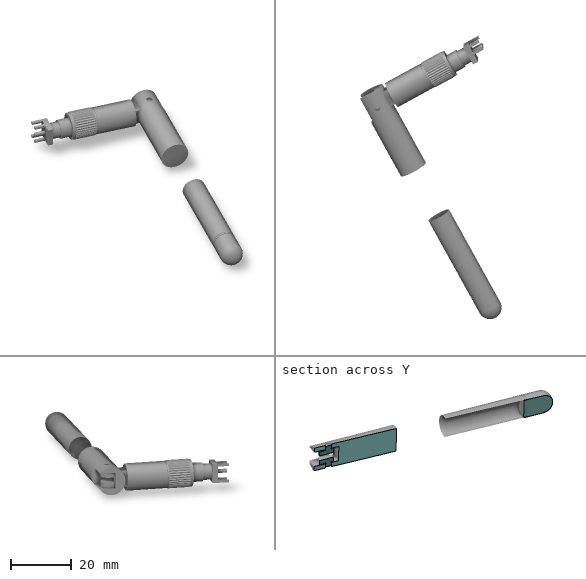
import cadquery as cq
import math

ARM_TURN_ABOUT_Z = 1.2
ARM_TIP_ABOUT_Y = 1.4
SLEEVE_TURN_ABOUT_Z = 0.5
SLEEVE_TIP_ABOUT_X = -0.8
JACK_OFFSET_X = 0.6
JACK_OFFSET_Z = 0.35

ARM_DIAMETER = 9.3
ARM_START = -4.5
ARM_LENGTH = 29.7
ARM_CLEARANCE_CUT = 0.7
CLEARANCE_CUT_LENGTH = 8.8
ARM_TIP_CHAMFER = 0.5
SLOT_HEIGHT = 5.5
SLOT_FLOOR = -1.5

TONGUE_WIDTH = 5.35
TONGUE_HEIGHT = TONGUE_WIDTH
FORK_GAP = 1.7
FORK_FLOOR = -1.4
PEG_DIAMETER = 2.0
PEG_X = 0.7
PEG_Y = 0.2
PEG_LENGTH = 1.6
PEG_CONE = 0.35
SLEEVE_START = 5.6
SLEEVE_END = 18.8
SLEEVE_DIAMETER = 9.0

NUT_NECK_LENGTH = 0.3
NUT_NECK_DIAMETER = 8.6
NUT_SHOULDER_LENGTH = 0.4
KNURL_LENGTH = 7.2
KNURL_DIAMETER = 9.3
KNURL_DEPTH = 0.3
KNURL_TEETH = 36
COLLAR_LENGTH = 0.95

JACK_START = 20.7
JACK_DIAMETER = 6.3
JACK_NECK_DIAMETER = 5.35
JACK_NECK_START = 31.35
PLATE_START = 34.3
PLATE_THICKNESS = 1.8
LEG_LENGTH = 3.6
LEG_WIDTH = 0.95
LEG_HEIGHT = 0.8

INSULATOR_DIAMETER = 4.2
CONTACT_DIAMETER = 1.3
CONTACT_TIP_DIAMETER = 0.95

WHIP_START = 42.75
WHIP_LENGTH = 39.0
WHIP_DIAMETER = 7.7
WHIP_BORE = 7.5
WHIP_BORE_DEPTH = 28.15
GROOVE_STARTS = [28.4, 29.2]
GROOVE_WIDTH = 0.3
GROOVE_DEPTH = 0.2

NUT_START = SLEEVE_END
SHOULDER_START = NUT_START + NUT_NECK_LENGTH
KNURL_START = SHOULDER_START + NUT_SHOULDER_LENGTH
COLLAR_START = KNURL_START + KNURL_LENGTH
NUT_END = COLLAR_START + COLLAR_LENGTH
PLATE_END = PLATE_START + PLATE_THICKNESS
LEG_END = PLATE_END + LEG_LENGTH
FLAT_Y = ARM_DIAMETER / 2 - ARM_CLEARANCE_CUT


def box(x_range, y_range, z_range):
    """Box between pairs of limits."""
    size = [high - low for low, high in (x_range, y_range, z_range)]
    return cq.Workplane().box(*size, centered=False).translate((x_range[0], y_range[0], z_range[0]))


def connector_rod(diameter, start, end):
    """Cylinder on the connector axis between two distances from the hinge."""
    return cq.Workplane("XZ", origin=(0, -start, 0)).circle(diameter / 2).extrude(end - start)


def arm_rod(diameter, start, end):
    """Cylinder on the arm axis between two X positions."""
    return cq.Workplane("YZ", origin=(start, 0, 0)).circle(diameter / 2).extrude(end - start)


def make_pegs():
    """Two snap pegs with conical tips, standing out of the tongue's upper and lower faces."""
    tip = TONGUE_HEIGHT / 2 + PEG_LENGTH
    shoulder = tip - PEG_CONE
    profile = [(0, 0), (PEG_DIAMETER / 2, 0), (PEG_DIAMETER / 2, shoulder), (0, tip)]
    upper = cq.Workplane("XZ").polyline(profile).close().revolve(360, (0, 0), (0, 1))
    pegs = upper.union(upper.mirror("XY"))
    return pegs.translate((PEG_X, PEG_Y, 0))


def make_tongue():
    """Square tongue with a rounded end around the hinge."""
    half = TONGUE_WIDTH / 2
    return (
        cq.Workplane("XY", origin=(0, 0, -TONGUE_HEIGHT / 2))
        .moveTo(-half, -SLEEVE_START)
        .lineTo(half, -SLEEVE_START)
        .lineTo(half, 0)
        .threePointArc((0, half), (-half, 0))
        .close()
        .extrude(TONGUE_HEIGHT)
    )


def make_sleeve():
    """Round sleeve with a forked tongue that carries the two pegs."""
    half = TONGUE_WIDTH / 2
    gap = box((-half, half), (FORK_FLOOR, half), (-FORK_GAP / 2, FORK_GAP / 2))
    fork = make_tongue().union(make_pegs()).cut(gap)
    return connector_rod(SLEEVE_DIAMETER, SLEEVE_START, SLEEVE_END).union(fork)


def make_hinge_space():
    """Space that the tongue and its pegs take up inside the arm."""
    peg_holes = (
        cq.Workplane("XY", origin=(PEG_X, PEG_Y, -ARM_DIAMETER))
        .circle(PEG_DIAMETER / 2)
        .extrude(2 * ARM_DIAMETER)
    )
    return make_tongue().union(peg_holes)


def make_arm():
    """Round arm with a hinge slot and a flat that clears the folding tongue."""
    half_height = SLOT_HEIGHT / 2
    radius = ARM_DIAMETER / 2
    cut_end = ARM_START + CLEARANCE_CUT_LENGTH
    arm = arm_rod(ARM_DIAMETER, ARM_START, ARM_START + ARM_LENGTH)
    clearance = (
        cq.Workplane("XY", origin=(0, 0, -radius))
        .moveTo(ARM_START, FLAT_Y - ARM_TIP_CHAMFER)
        .lineTo(ARM_START + ARM_TIP_CHAMFER, FLAT_Y)
        .lineTo(cut_end, FLAT_Y)
        .lineTo(cut_end + ARM_CLEARANCE_CUT, radius)
        .lineTo(ARM_START, radius)
        .close()
        .extrude(ARM_DIAMETER)
    )
    slot = box((ARM_START, cut_end), (SLOT_FLOOR, radius), (-half_height, half_height))
    return arm.cut(clearance).cut(slot)


def make_nut():
    """Nut with straight V-shaped knurling between a plain shoulder and collar, and a narrow neck."""
    neck = connector_rod(NUT_NECK_DIAMETER, NUT_START, SHOULDER_START)
    shoulder = connector_rod(SLEEVE_DIAMETER, SHOULDER_START, KNURL_START)
    collar = connector_rod(SLEEVE_DIAMETER, COLLAR_START, NUT_END)
    outline = []
    for step in range(2 * KNURL_TEETH):
        radius = KNURL_DIAMETER / 2 - KNURL_DEPTH * (step % 2)
        angle = math.pi * step / KNURL_TEETH
        outline.append((radius * math.cos(angle), radius * math.sin(angle)))
    knurl = cq.Workplane("XZ", origin=(0, -KNURL_START, 0)).polyline(outline).close().extrude(KNURL_LENGTH)
    return neck.union(shoulder).union(knurl).union(collar)


def make_jack():
    """Stepped jack with a square plate and four legs, bored for the insulator."""
    half = JACK_DIAMETER / 2
    jack = connector_rod(JACK_DIAMETER, JACK_START, JACK_NECK_START)
    jack = jack.union(connector_rod(JACK_NECK_DIAMETER, JACK_NECK_START, PLATE_START))
    jack = jack.union(box((-half, half), (-PLATE_END, -PLATE_START), (-half, half)))
    for left in (-half, -LEG_WIDTH / 2):
        for bottom in (-half, half - LEG_HEIGHT):
            leg = box((left, left + LEG_WIDTH), (-LEG_END, -PLATE_END), (bottom, bottom + LEG_HEIGHT))
            jack = jack.union(leg)
    return jack.cut(connector_rod(INSULATOR_DIAMETER, JACK_START, PLATE_END))


def make_insulator():
    """Insulator flush with the plate, with a chamfered contact pin standing out of it."""
    chamfer = (CONTACT_DIAMETER - CONTACT_TIP_DIAMETER) / 2
    contact = connector_rod(CONTACT_DIAMETER, PLATE_END, LEG_END).faces("<Y").chamfer(chamfer)
    return connector_rod(INSULATOR_DIAMETER, JACK_START, PLATE_END).union(contact)


def make_whip():
    """Thin round-ended cover, open toward the arm, with two fine grooves."""
    radius = WHIP_DIAMETER / 2
    dome_start = WHIP_START + WHIP_LENGTH - radius
    whip_end = WHIP_START + WHIP_LENGTH
    arc_middle = (dome_start + radius * math.cos(math.pi / 4), radius * math.sin(math.pi / 4))
    whip = (
        cq.Workplane("XY")
        .moveTo(WHIP_START, 0)
        .lineTo(WHIP_START, radius)
        .lineTo(dome_start, radius)
        .threePointArc(arc_middle, (whip_end, 0))
        .close()
        .revolve(360, (0, 0), (1, 0))
    )
    whip = whip.cut(arm_rod(WHIP_BORE, WHIP_START, WHIP_START + WHIP_BORE_DEPTH))
    for offset in GROOVE_STARTS:
        start = WHIP_START + offset
        groove = arm_rod(WHIP_DIAMETER, start, start + GROOVE_WIDTH)
        groove = groove.cut(arm_rod(WHIP_DIAMETER - 2 * GROOVE_DEPTH, start, start + GROOVE_WIDTH))
        whip = whip.cut(groove)
    return whip


def lean_with_arm(body):
    """Turn a body by the lean of the arm and whip."""
    turned = body.rotate((0, 0, 0), (0, 0, 1), ARM_TURN_ABOUT_Z)
    return turned.rotate((0, 0, 0), (0, 1, 0), ARM_TIP_ABOUT_Y)


def lean_with_sleeve(body):
    """Turn a body by the lean of the sleeve and nut."""
    turned = body.rotate((0, 0, 0), (0, 0, 1), SLEEVE_TURN_ABOUT_Z)
    return turned.rotate((0, 0, 0), (1, 0, 0), SLEEVE_TIP_ABOUT_X)


def move_with_jack(body):
    """Shift a body to the axis of the jack."""
    return body.translate((JACK_OFFSET_X, 0, JACK_OFFSET_Z))


jack_bore = move_with_jack(connector_rod(JACK_DIAMETER, JACK_START, JACK_NECK_START))

arm = lean_with_arm(make_arm()).cut(lean_with_sleeve(make_hinge_space()))
whip = lean_with_arm(make_whip())
sleeve = lean_with_sleeve(make_sleeve())
nut = lean_with_sleeve(make_nut()).cut(jack_bore)
jack = move_with_jack(make_jack())
insulator = move_with_jack(make_insulator())

result = cq.Compound.makeCompound(
    [arm.val(), whip.val(), sleeve.val(), nut.val(), jack.val(), insulator.val()]
)